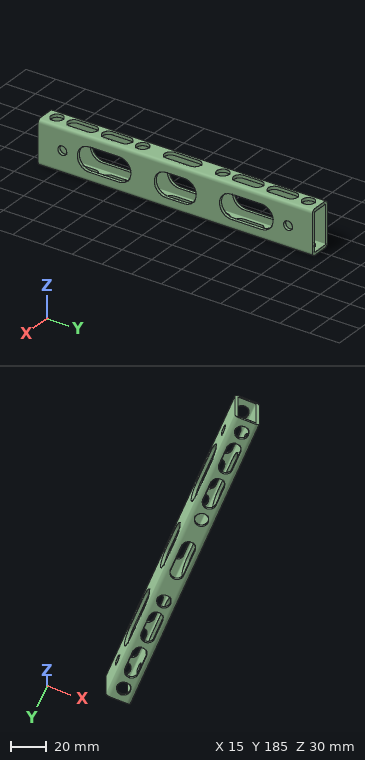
import cadquery as cq

LENGTH = 185.0
WIDTH = 15.0
HEIGHT = 30.0
WALL = 2.0
CORNER_RADIUS = 2.5

TOP_OPENING_WIDTH = 8.0
TOP_GROUP_CENTER = 55.9
TOP_HOLE_OFFSET = 28.9
TOP_SLOT_OFFSET = 11.7
TOP_SLOT_LENGTH = 19.6
TOP_MIDDLE_SLOT_LENGTH = 24.2

SIDE_HOLE_DIAMETER = 6.0
SIDE_HOLE_Y = 76.0
SIDE_SLOT_WIDTH = 16.1
SIDE_SLOT_LENGTH = 36.0
SIDE_SLOT_Y = 48.0
SIDE_MIDDLE_SLOT_LENGTH = 28.1


def make_tube():
    """Tube with rounded outer edges and a bore with concentric corners."""
    outer = cq.Workplane("XY").box(WIDTH, LENGTH, HEIGHT).edges("|Y").fillet(CORNER_RADIUS)
    bore = cq.Workplane("XY").box(WIDTH - 2 * WALL, LENGTH, HEIGHT - 2 * WALL)
    bore = bore.edges("|Y").fillet(CORNER_RADIUS - WALL)
    return outer.cut(bore)


def mirrored(y):
    """Points at +y and -y on a plane whose second axis lies along Y."""
    return [(0, y), (0, -y)]


def cut_holes(body, plane, points, diameter):
    """Cut round holes right through the tube, square to the plane."""
    cutter = cq.Workplane(plane).pushPoints(points).circle(diameter / 2).extrude(HEIGHT, both=True)
    return body.cut(cutter)


def cut_slots(body, plane, points, length, width):
    """Cut round-ended slots along Y right through the tube, square to the plane."""
    cutter = cq.Workplane(plane).pushPoints(points).slot2D(length, width, 90).extrude(HEIGHT, both=True)
    return body.cut(cutter)


def cut_top_and_bottom(body):
    """Two groups of hole, slot, slot, hole, with one longer slot between them."""
    for side in (1, -1):
        hole_points = mirrored(TOP_GROUP_CENTER + side * TOP_HOLE_OFFSET)
        slot_points = mirrored(TOP_GROUP_CENTER + side * TOP_SLOT_OFFSET)
        body = cut_holes(body, "XY", hole_points, TOP_OPENING_WIDTH)
        body = cut_slots(body, "XY", slot_points, TOP_SLOT_LENGTH, TOP_OPENING_WIDTH)
    return cut_slots(body, "XY", [(0, 0)], TOP_MIDDLE_SLOT_LENGTH, TOP_OPENING_WIDTH)


def cut_sides(body):
    """A hole near each end and three wide slots."""
    body = cut_holes(body, "ZY", mirrored(SIDE_HOLE_Y), SIDE_HOLE_DIAMETER)
    body = cut_slots(body, "ZY", mirrored(SIDE_SLOT_Y), SIDE_SLOT_LENGTH, SIDE_SLOT_WIDTH)
    return cut_slots(body, "ZY", [(0, 0)], SIDE_MIDDLE_SLOT_LENGTH, SIDE_SLOT_WIDTH)


result = cut_sides(cut_top_and_bottom(make_tube()))